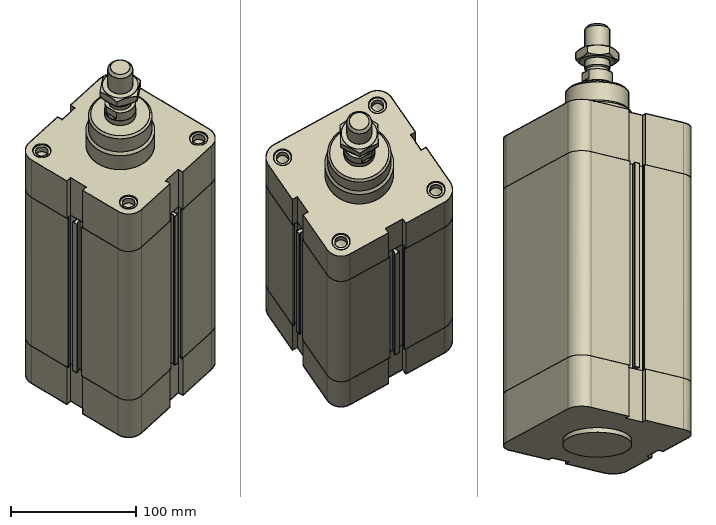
import cadquery as cq
import math

side = 115.5
half_side = side / 2
total_height = 358.0

rear_boss_height = 4.0
cover_height = 44.0
barrel_height = 175.0
rear_cover_top = rear_boss_height + cover_height
barrel_top = rear_cover_top + barrel_height
front_face = barrel_top + cover_height

corner_radius = 13.2
screw_offset = half_side - corner_radius
screw_diameter = 10.0
screw_depth = 6.8
drill_tip_slope = math.radians(30)
drill_tip_height = screw_diameter / 2 * math.tan(drill_tip_slope)
mouth_diameter = 14.5
counterbore_diameter = 14.0
counterbore_depth = 1.0

slot_angles = (0, 90, 270)
cover_slot_width = 16.0
slot_depth = 4.5
slot_mouth_width = 14.0
lip_thickness = 1.5
rib_head_width = 4.3
rib_stem_width = 3.0

boss_diameter = 55.0
neck_diameter = 51.0
neck_start = 285.7
neck_end = 303.0
neck_chamfer = 1.8
boss_slope_height = (boss_diameter - neck_diameter) / 2
boss_end = neck_start - boss_slope_height

rod_diameter = 25.0
step_height = 308.2
shoulder_height = 317.5
shoulder_diameter = 24.7
undercut_diameter = 18.5
thread_diameter = 20.0
thread_start = 322.2
thread_end_inset = 2.0
thread_end_slope_height = 2.5
thread_start_slope_height = 1.0
flats_width = 22.5
flat_bottom = 310.5

nut_across_flats = 30.0
nut_corner_diameter = nut_across_flats / math.cos(math.radians(30))
nut_height = 9.0
nut_bottom = 328.3
nut_bevel_height = 1.8
nut_face_diameter = 28.5


def cylinder(diameter, bottom, top):
    return cq.Workplane("XY", origin=(0, 0, bottom)).circle(diameter / 2).extrude(top - bottom)


def rounded_block(bottom, height):
    block = cq.Workplane("XY", origin=(0, 0, bottom)).rect(side, side).extrude(height)
    return block.edges("|Z").fillet(corner_radius)


def cut_side_slots(body, slot):
    """Cut the -Y slot shape into every slotted side."""
    for angle in slot_angles:
        body = body.cut(slot.rotate((0, 0, 0), (0, 0, 1), angle))
    return body


def side_box(width, inner_depth, outer_depth, bottom, height):
    """Box centred on the -Y side, between two depths below its face."""
    depth = inner_depth - outer_depth
    middle_y = -half_side + (inner_depth + outer_depth) / 2
    return cq.Workplane("XY", origin=(0, middle_y, bottom)).rect(width, depth).extrude(height)


def make_cover_block(bottom):
    slot = side_box(cover_slot_width, slot_depth, 0, bottom, cover_height)
    return cut_side_slots(rounded_block(bottom, cover_height), slot)


def make_rear_cover():
    boss = cylinder(boss_diameter, 0, rear_boss_height)
    return make_cover_block(rear_boss_height).union(boss)


def make_barrel():
    """Barrel whose slots hold a T-shaped rib between two lips."""
    mouth = side_box(slot_mouth_width, slot_depth, 0, rear_cover_top, barrel_height)
    chamber = side_box(cover_slot_width, slot_depth, lip_thickness, rear_cover_top, barrel_height)
    rib_head = side_box(rib_head_width, lip_thickness, 0, rear_cover_top, barrel_height)
    rib_stem = side_box(rib_stem_width, slot_depth, 0, rear_cover_top, barrel_height)
    slot = mouth.union(chamber).cut(rib_head).cut(rib_stem)
    return cut_side_slots(rounded_block(rear_cover_top, barrel_height), slot)


def make_front_boss():
    """Boss and neck joined by a 45 degree slope."""
    boss_radius = boss_diameter / 2
    neck_radius = neck_diameter / 2
    profile = [
        (0, front_face),
        (boss_radius, front_face),
        (boss_radius, boss_end),
        (neck_radius, neck_start),
        (neck_radius, neck_end - neck_chamfer),
        (neck_radius - neck_chamfer, neck_end),
        (0, neck_end),
    ]
    return cq.Workplane("XZ").polyline(profile).close().revolve(360, (0, 0), (0, 1))


def make_screw_hole():
    """Blind hole with a slightly tapered counterbore and a drill tip, on the Z axis below the front face."""
    radius = screw_diameter / 2
    counterbore_radius = counterbore_diameter / 2
    hole_bottom = front_face - screw_depth
    profile = [
        (0, front_face),
        (mouth_diameter / 2, front_face),
        (counterbore_radius, front_face - counterbore_depth),
        (radius, front_face - counterbore_depth),
        (radius, hole_bottom),
        (0, hole_bottom - drill_tip_height),
    ]
    return cq.Workplane("XZ").polyline(profile).close().revolve(360, (0, 0), (0, 1))


def make_front_cover():
    cover = make_cover_block(barrel_top).union(make_front_boss())
    for x in (-screw_offset, screw_offset):
        for y in (-screw_offset, screw_offset):
            cover = cover.cut(make_screw_hole().translate((x, y, 0)))
    return cover.cut(cylinder(rod_diameter, barrel_top, neck_end))


def make_wrench_flat():
    """Cutter for the -Y wrench flat, with a sloped run-out at its lower end."""
    flat_y = -flats_width / 2
    surface_y = -shoulder_diameter / 2
    profile = [
        (flat_y, shoulder_height),
        (flat_y, flat_bottom),
        (surface_y, step_height),
        (surface_y, shoulder_height),
    ]
    return cq.Workplane("YZ").polyline(profile).close().extrude(shoulder_diameter / 2, both=True)


def make_rod():
    rod_radius = rod_diameter / 2
    shoulder_radius = shoulder_diameter / 2
    undercut_radius = undercut_diameter / 2
    thread_radius = thread_diameter / 2
    profile = [
        (0, barrel_top),
        (rod_radius, barrel_top),
        (rod_radius, step_height),
        (shoulder_radius, step_height),
        (shoulder_radius, shoulder_height),
        (undercut_radius, shoulder_height),
        (undercut_radius, thread_start - thread_start_slope_height),
        (thread_radius, thread_start),
        (thread_radius, total_height - thread_end_slope_height),
        (thread_radius - thread_end_inset, total_height),
        (0, total_height),
    ]
    rod = cq.Workplane("XZ").polyline(profile).close().revolve(360, (0, 0), (0, 1))
    flat = make_wrench_flat()
    return rod.cut(flat).cut(flat.mirror("XZ"))


def make_nut():
    """Hexagon with corners on X, bevelled above and below."""
    nut_top = nut_bottom + nut_height
    face_radius = nut_face_diameter / 2
    outer_radius = nut_corner_diameter / 2
    hexagon = cq.Workplane("XY", origin=(0, 0, nut_bottom)).polygon(6, nut_corner_diameter)
    bevel_profile = [
        (0, nut_bottom),
        (face_radius, nut_bottom),
        (outer_radius, nut_bottom + nut_bevel_height),
        (outer_radius, nut_top - nut_bevel_height),
        (face_radius, nut_top),
        (0, nut_top),
    ]
    bevel = cq.Workplane("XZ").polyline(bevel_profile).close().revolve(360, (0, 0), (0, 1))
    nut = hexagon.extrude(nut_height).intersect(bevel)
    return nut.cut(cylinder(thread_diameter, nut_bottom, nut_top))


rear_cover = make_rear_cover()
barrel = make_barrel()
front_cover = make_front_cover()
rod = make_rod()
nut = make_nut()

result = cq.Compound.makeCompound(
    [rear_cover.val(), barrel.val(), front_cover.val(), rod.val(), nut.val()]
)